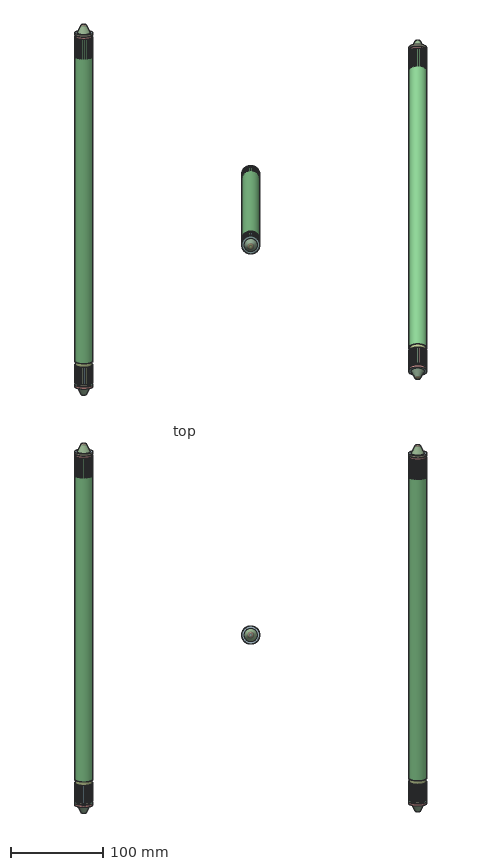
import cadquery as cq
import math

LENGTH = 418.25
SHAFT_RADIUS = 10.0

TIP_RADIUS = 2.7
TIP_ROUND = 1.7
NOSE_BASE_RADIUS = 7.25
NOSE_LENGTH = 9.25

COLLAR_WIDTH = 2.5
TOP_GROOVE_WIDTH = 2.5
TOP_GROOVE_RADIUS = 9.0
BOTTOM_GROOVE_WIDTH = 2.25
BOTTOM_GROOVE_RADIUS = 7.5

TOOTH_COUNT = 28
TOOTH_DEPTH = 0.9
TOP_SPLINE_LENGTH = 22.0
BOTTOM_SPLINE_LENGTH = 20.0
CREST_SHARE = 0.6
GAP_FLOOR_SHARE = 0.2
ROOT_RADIUS = SHAFT_RADIUS - TOOTH_DEPTH

RELIEF_LENGTH = 4.0
RELIEF_RADIUS = 9.0

BOTTOM_COLLAR_Z = NOSE_LENGTH
BOTTOM_GROOVE_Z = BOTTOM_COLLAR_Z + COLLAR_WIDTH
BOTTOM_SPLINE_Z = BOTTOM_GROOVE_Z + BOTTOM_GROOVE_WIDTH
RELIEF_Z = BOTTOM_SPLINE_Z + BOTTOM_SPLINE_LENGTH
SHAFT_Z = RELIEF_Z + RELIEF_LENGTH
TOP_NOSE_Z = LENGTH - NOSE_LENGTH
TOP_COLLAR_Z = TOP_NOSE_Z - COLLAR_WIDTH
TOP_GROOVE_Z = TOP_COLLAR_Z - TOP_GROOVE_WIDTH
TOP_SPLINE_Z = TOP_GROOVE_Z - TOP_SPLINE_LENGTH


def turned_body():
    """Revolved body with noses, collars, grooves and relief, before the splines are cut."""
    profile = [
        (0, 0),
        (TIP_RADIUS, 0),
        (NOSE_BASE_RADIUS, BOTTOM_COLLAR_Z),
        (SHAFT_RADIUS, BOTTOM_COLLAR_Z),
        (SHAFT_RADIUS, BOTTOM_GROOVE_Z),
        (BOTTOM_GROOVE_RADIUS, BOTTOM_GROOVE_Z),
        (BOTTOM_GROOVE_RADIUS, BOTTOM_SPLINE_Z),
        (SHAFT_RADIUS, BOTTOM_SPLINE_Z),
        (SHAFT_RADIUS, RELIEF_Z),
        (RELIEF_RADIUS, RELIEF_Z),
        (RELIEF_RADIUS, SHAFT_Z),
        (SHAFT_RADIUS, SHAFT_Z),
        (SHAFT_RADIUS, TOP_GROOVE_Z),
        (TOP_GROOVE_RADIUS, TOP_GROOVE_Z),
        (TOP_GROOVE_RADIUS, TOP_COLLAR_Z),
        (SHAFT_RADIUS, TOP_COLLAR_Z),
        (SHAFT_RADIUS, TOP_NOSE_Z),
        (NOSE_BASE_RADIUS, TOP_NOSE_Z),
        (TIP_RADIUS, LENGTH),
        (0, LENGTH),
    ]
    return cq.Workplane("XZ").polyline(profile).close().revolve(360, (0, 0), (0, 1))


def round_tips(body):
    """Round the end edge of both noses."""
    body = body.faces(">Z").edges().fillet(TIP_ROUND)
    return body.faces("<Z").edges().fillet(TIP_ROUND)


def spline_gaps(base_z, length):
    """Cutting tool for the tooth gaps of one spline, the first gap centred on +X."""
    pitch = 2 * math.pi / TOOTH_COUNT
    half_floor = ROOT_RADIUS * GAP_FLOOR_SHARE * pitch / 2
    half_mouth = SHAFT_RADIUS * (1 - CREST_SHARE) * pitch / 2
    outer_radius = SHAFT_RADIUS + TOOTH_DEPTH
    half_outer = 2 * half_mouth - half_floor
    section = [
        (ROOT_RADIUS, -half_floor),
        (outer_radius, -half_outer),
        (outer_radius, half_outer),
        (ROOT_RADIUS, half_floor),
    ]
    gap = cq.Workplane("XY", origin=(0, 0, base_z)).polyline(section).close().extrude(length)
    gaps = cq.Workplane("XY")
    for tooth in range(TOOTH_COUNT):
        angle = tooth * 360 / TOOTH_COUNT
        gaps = gaps.add(gap.rotate((0, 0, 0), (0, 0, 1), angle))
    return gaps.combine()


result = round_tips(turned_body())
result = result.cut(spline_gaps(BOTTOM_SPLINE_Z, BOTTOM_SPLINE_LENGTH))
result = result.cut(spline_gaps(TOP_SPLINE_Z, TOP_SPLINE_LENGTH))